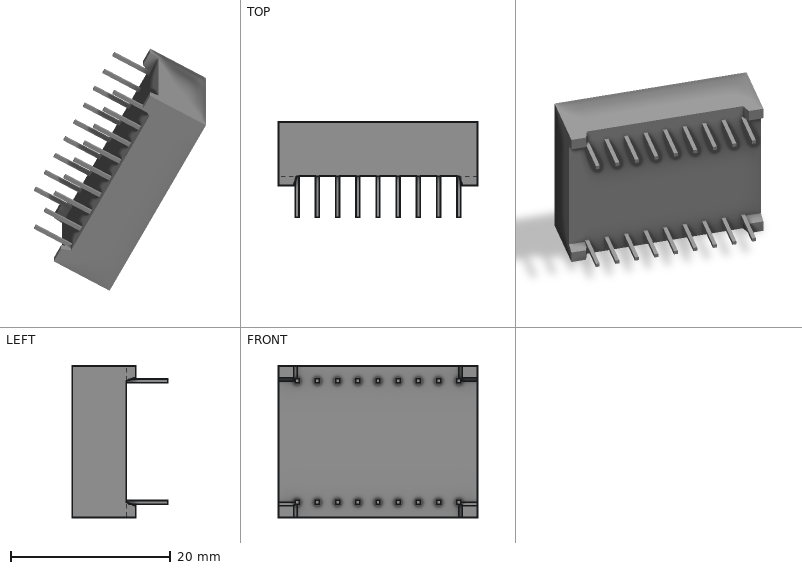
import cadquery as cq
import math

body_width = 25.0
body_height = 19.05
body_depth = 8.0
overall_depth = 12.0

foot_length = 1.2
foot_tip_width = 1.9
foot_tip_height = 1.48
foot_draft_angle = 20.0

pins_per_row = 9
pin_size = 0.5
pin_span = 20.32
pin_row_spacing = 15.25
pin_pitch = pin_span / (pins_per_row - 1)

foot_tip_y = -body_depth
floor_y = foot_tip_y + foot_length
pin_tip_y = -overall_depth
pin_length = floor_y - pin_tip_y
foot_flare = foot_length * math.tan(math.radians(foot_draft_angle))


def channel(plane, body_side, foot_tip_side, length):
    """Trapezoidal channel, centred along its length, narrowing toward its floor.

    The first axis of the plane runs across the channel, the second along Y.
    """
    half_mouth = body_side / 2 - foot_tip_side
    half_floor = half_mouth - foot_flare
    outline = [
        (-half_mouth, foot_tip_y),
        (half_mouth, foot_tip_y),
        (half_floor, floor_y),
        (-half_floor, floor_y),
    ]
    return cq.Workplane(plane).polyline(outline).close().extrude(length / 2, both=True)


def make_body():
    block = cq.Workplane("XY").box(body_width, body_depth, body_height)
    block = block.translate((0, -body_depth / 2, 0))
    upright_channel = channel("XY", body_width, foot_tip_width, body_height)
    cross_channel = channel("ZY", body_height, foot_tip_height, body_width)
    return block.cut(upright_channel).cut(cross_channel)


def make_pins():
    pin_root = foot_length
    return (
        cq.Workplane("XZ", origin=(0, floor_y + pin_root, 0))
        .rarray(pin_pitch, pin_row_spacing, pins_per_row, 2)
        .rect(pin_size, pin_size)
        .extrude(pin_root + pin_length)
    )


result = make_body().union(make_pins())